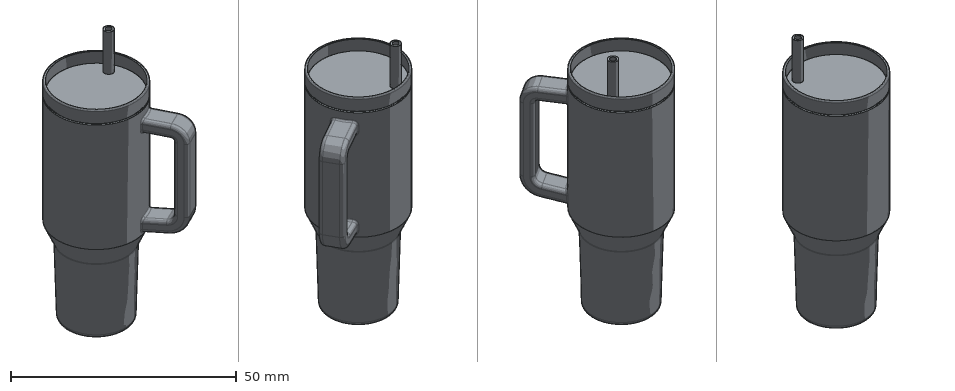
import cadquery as cq
import math

total_height = 71.75

body_radius = 23.75 / 2
cavity_radius = 21.4 / 2
wall = body_radius - cavity_radius
foot_radius = 8.8
waist_radius = 9.4
waist_z = 20.5
shoulder_z = 26.1
cup_top_z = 59.6
foot_fillet = 1.1
waist_fillet = 0.6

groove_radius = 22.75 / 2
groove_height = 0.4

lid_top_z = 63.5
lid_edge_fillet = 0.2
recess_radius = 22.5 / 2
recess_depth = 3.15

straw_radius = 2.5 / 2
straw_bore_radius = 1.5 / 2
straw_y = 8.6

overall_length = 34.45
handle_reach = overall_length - body_radius
handle_top_z = 57.2
handle_thickness = 3.5
handle_width = 5.95
handle_edge_fillet = 1.0
handle_root_fillet = 0.4
upper_bend_radius = 4.2
lower_bend_radius = 5.5
lower_arm_slope = math.radians(8.5)
lower_arm_root_z = 26.9
root_x = body_radius - wall / 2


def make_body():
    """Revolved outside of the cup, neck and lid, without any hollow."""
    lid_bottom_z = cup_top_z + groove_height
    body = (
        cq.Workplane("YZ")
        .moveTo(0, 0)
        .lineTo(foot_radius, 0)
        .lineTo(waist_radius, waist_z)
        .lineTo(body_radius, shoulder_z)
        .lineTo(body_radius, cup_top_z)
        .lineTo(groove_radius, cup_top_z)
        .lineTo(groove_radius, lid_bottom_z)
        .lineTo(body_radius, lid_bottom_z)
        .lineTo(body_radius, lid_top_z)
        .lineTo(0, lid_top_z)
        .close()
        .revolve(360, (0, 0, 0), (0, 1, 0))
    )
    body = body.faces("<Z").edges().fillet(foot_fillet)
    waist_edge = cq.selectors.BoxSelector(
        (-body_radius, -body_radius, waist_z - waist_fillet),
        (body_radius, body_radius, waist_z + waist_fillet),
    )
    body = body.edges(waist_edge).fillet(waist_fillet)
    return body.faces(">Z").edges().fillet(lid_edge_fillet)


def make_cavity():
    """Closed drink space that follows the outside at one wall thickness, up to the lid."""
    return (
        cq.Workplane("YZ")
        .moveTo(0, wall)
        .lineTo(foot_radius - wall, wall)
        .lineTo(waist_radius - wall, waist_z)
        .lineTo(cavity_radius, shoulder_z)
        .lineTo(cavity_radius, cup_top_z)
        .lineTo(0, cup_top_z)
        .close()
        .revolve(360, (0, 0, 0), (0, 1, 0))
    )


def make_handle_loop(inset):
    """Outline of the handle moved inward by inset, extruded across the handle width."""
    right = handle_reach - inset
    top = handle_top_z - inset
    root_bottom = lower_arm_root_z + inset / math.cos(lower_arm_slope)
    corner_bottom = root_bottom + (right - body_radius) * math.tan(lower_arm_slope)
    start_bottom = root_bottom + (root_x - body_radius) * math.tan(lower_arm_slope)
    loop = (
        cq.Workplane("XZ", origin=(0, handle_width / 2, 0))
        .moveTo(root_x, top)
        .lineTo(right, top)
        .lineTo(right, corner_bottom)
        .lineTo(root_x, start_bottom)
        .close()
        .extrude(handle_width)
    )
    loop = loop.edges("|Y and >X and >Z").fillet(upper_bend_radius - inset)
    return loop.edges("|Y").edges(">X").edges("<Z").fillet(lower_bend_radius - inset)


def make_handle():
    """Flat bar bent into a loop, with its long edges rounded."""
    handle = make_handle_loop(0).cut(make_handle_loop(handle_thickness))
    return handle.faces("<Y or >Y").edges("not(<X)").fillet(handle_edge_fillet)


def round_handle_roots(part):
    """Fillet the edges where the two handle arms meet the round wall of the cup."""
    depth = body_radius - math.sqrt(body_radius**2 - (handle_width / 2) ** 2)
    margin = 0.1
    roots = cq.selectors.BoxSelector(
        (body_radius - depth - margin, -handle_width, shoulder_z),
        (body_radius + margin, handle_width, cup_top_z - margin),
    )
    return part.edges(roots).fillet(handle_root_fillet)


def make_cylinder(radius, y, bottom_z, top_z):
    """Upright cylinder centred on X = 0."""
    return cq.Workplane("XY", origin=(0, y, bottom_z)).circle(radius).extrude(top_z - bottom_z)


lid_floor_z = lid_top_z - recess_depth
solid_cup = round_handle_roots(make_body().union(make_handle()))
recess = make_cylinder(recess_radius, 0, lid_floor_z, lid_top_z)
straw = make_cylinder(straw_radius, straw_y, cup_top_z, total_height)
straw_bore = make_cylinder(straw_bore_radius, straw_y, cup_top_z, total_height)

result = solid_cup.cut(make_cavity()).cut(recess).union(straw).cut(straw_bore)